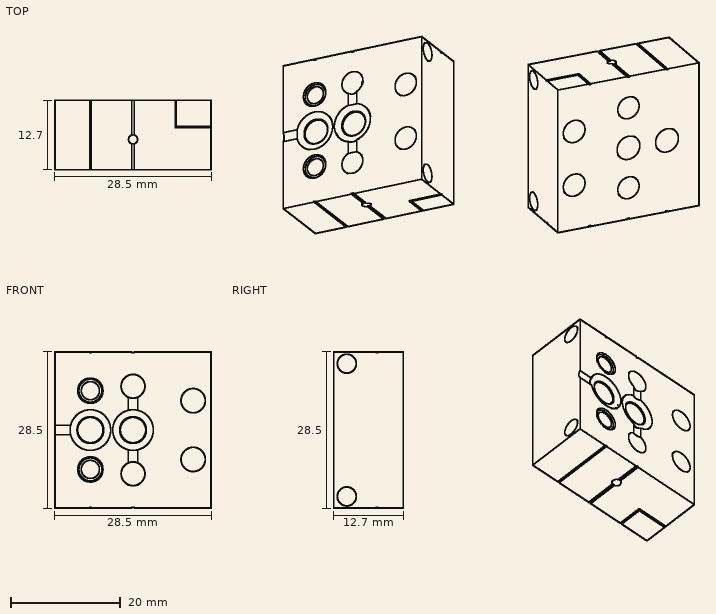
import cadquery as cq

SIDE = 28.45
THICKNESS = 12.7
HALF = SIDE / 2
FRONT_Y = -THICKNESS / 2
REACH = 2 * SIDE

LEFT_PORT_X = -7.77
MIDDLE_PORT_X = 0.0
PORT_D = 4.6
PORT_CHAMFER = 0.15
RECESS_D = 7.4
RECESS_DEPTH = 0.5
RECESS_FLOOR_RADIUS = 0.23

MIDDLE_HOLE_D = 4.3
MIDDLE_HOLE_Z = 7.97
RIGHT_HOLE_D = 4.38
RIGHT_HOLE_X = 10.95
RIGHT_HOLE_Z = 5.35

BLIND_Z = 7.17
BLIND_D = 3.3
BLIND_DEPTH = 8.54
BLIND_TIP_DEPTH = 0.95
BLIND_RECESS_MOUTH_D = 4.6
BLIND_RECESS_FLOOR_D = 4.18
BLIND_RECESS_DEPTH = 0.3

CHANNEL_WIDTH = 1.8
CHANNEL_DEPTH = 0.3

CROSS_D = 3.4
CROSS_Y = FRONT_Y + 2.4
CROSS_Z = 12.1

VENT_D = 1.65
VENT_Y = -0.8

MARK_DEPTH = 0.15
LEFT_MARK_WIDTH = 0.25
MIDDLE_MARK_WIDTH = 0.4
CORNER_MARK_WIDTH = 0.25
CORNER_MARK_X = 7.65
CORNER_MARK_Y = 1.37


def rod_y(x, z, diameter):
    """Cylinder through the whole thickness."""
    return cq.Workplane("XZ").center(x, z).circle(diameter / 2).extrude(REACH, both=True)


def turned_hole(x, z, profile):
    """Solid of revolution about a Y axis; profile holds (radius, depth) points."""
    points = [(radius, FRONT_Y + depth) for radius, depth in profile]
    return (
        cq.Workplane("XY")
        .polyline(points)
        .close()
        .revolve(360, (0, 0), (0, 1))
        .translate((x, 0, z))
    )


def port(x):
    """Bore through the thickness with a chamfered edge and a round-cornered seal recess."""
    bore = turned_hole(x, 0, [
        (0, 0),
        (PORT_D / 2 + PORT_CHAMFER, 0),
        (PORT_D / 2 + PORT_CHAMFER, RECESS_DEPTH),
        (PORT_D / 2, RECESS_DEPTH + PORT_CHAMFER),
        (PORT_D / 2, THICKNESS),
        (0, THICKNESS),
    ])
    recess = (
        cq.Workplane("XZ", origin=(x, FRONT_Y, 0))
        .circle(RECESS_D / 2)
        .extrude(-RECESS_DEPTH)
        .faces(">Y")
        .edges()
        .fillet(RECESS_FLOOR_RADIUS)
    )
    return recess.union(bore)


def blind_hole(z):
    return turned_hole(LEFT_PORT_X, z, [
        (0, 0),
        (BLIND_RECESS_MOUTH_D / 2, 0),
        (BLIND_RECESS_FLOOR_D / 2, BLIND_RECESS_DEPTH),
        (BLIND_D / 2, BLIND_RECESS_DEPTH),
        (BLIND_D / 2, BLIND_DEPTH),
        (0, BLIND_DEPTH + BLIND_TIP_DEPTH),
    ])


channel_r = ((CHANNEL_WIDTH / 2) ** 2 + CHANNEL_DEPTH**2) / (2 * CHANNEL_DEPTH)
channel_axis_y = FRONT_Y + CHANNEL_DEPTH - channel_r


def side_channel():
    """From the left side to the left port."""
    return (
        cq.Workplane("YZ", origin=(-HALF, channel_axis_y, 0))
        .circle(channel_r)
        .extrude(HALF + LEFT_PORT_X)
    )


def middle_channel():
    """Joins the middle port to the holes above and below it."""
    return (
        cq.Workplane("XY", origin=(MIDDLE_PORT_X, channel_axis_y, 0))
        .circle(channel_r)
        .extrude(MIDDLE_HOLE_Z, both=True)
    )


def cross_hole(z):
    return (
        cq.Workplane("YZ", origin=(0, CROSS_Y, z))
        .circle(CROSS_D / 2)
        .extrude(REACH, both=True)
    )


def vent(sign):
    """From the top (+1) or bottom (-1) side to the axis of the middle hole."""
    return (
        cq.Workplane("XY", origin=(MIDDLE_PORT_X, VENT_Y, sign * MIDDLE_HOLE_Z))
        .circle(VENT_D / 2)
        .extrude(sign * HALF)
    )


def straight_mark(x, width, z):
    return cq.Workplane("XY").box(width, REACH, 2 * MARK_DEPTH).translate((x, 0, z))


def corner_mark(z):
    """L-shaped groove that frames the rear right corner."""
    arm_x = HALF - CORNER_MARK_X
    arm_y = THICKNESS / 2 - CORNER_MARK_Y
    corner = cq.Workplane("XY", origin=(CORNER_MARK_X, CORNER_MARK_Y, z))
    along_x = corner.box(arm_x, CORNER_MARK_WIDTH, 2 * MARK_DEPTH, centered=(False, False, True))
    along_y = corner.box(CORNER_MARK_WIDTH, arm_y, 2 * MARK_DEPTH, centered=(False, False, True))
    return along_x.union(along_y)


result = cq.Workplane("XY").box(SIDE, THICKNESS, SIDE)
for port_x in (LEFT_PORT_X, MIDDLE_PORT_X):
    result = result.cut(port(port_x))
result = result.cut(side_channel()).cut(middle_channel())

for sign in (1, -1):
    result = result.cut(rod_y(MIDDLE_PORT_X, sign * MIDDLE_HOLE_Z, MIDDLE_HOLE_D))
    result = result.cut(rod_y(RIGHT_HOLE_X, sign * RIGHT_HOLE_Z, RIGHT_HOLE_D))
    result = result.cut(blind_hole(sign * BLIND_Z))
    result = result.cut(cross_hole(sign * CROSS_Z))
    result = result.cut(vent(sign))
    result = result.cut(straight_mark(LEFT_PORT_X, LEFT_MARK_WIDTH, sign * HALF))
    result = result.cut(straight_mark(MIDDLE_PORT_X, MIDDLE_MARK_WIDTH, sign * HALF))
    result = result.cut(corner_mark(sign * HALF))